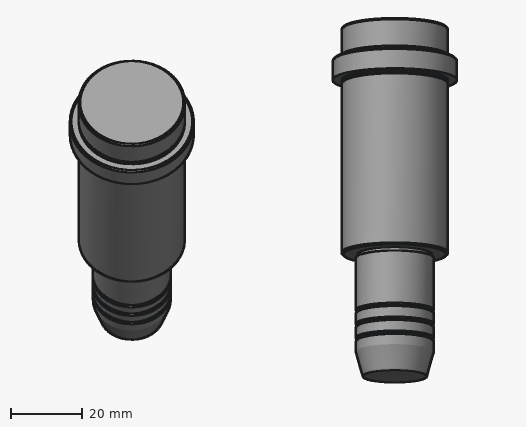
import cadquery as cq

total_length = 100.0
flange_radius = 17.5
body_radius = 15.0
stem_radius = 11.0

flange_top = 91.0
flange_bottom = 85.0
body_bottom = 35.0

neck_radius = 10.5
neck_width = 1.0

groove_width = 1.0
groove_depth = groove_width / 2
stem_groove_pitch = 4.0
stem_groove_count = 3
lowest_stem_groove = 10.0

taper_top = 7.0
tip_radius = 9.2
tip_bevel_height = 0.5
tip_bevel_width = 0.2

edge_chamfer = 0.5


def cylinder(radius, bottom, top):
    """Solid cylinder on the Z axis between two heights."""
    return cq.Workplane("XY").workplane(offset=bottom).circle(radius).extrude(top - bottom)


def ring_groove(radius, bottom):
    """V-shaped ring cutter whose mouth lies on the given radius."""
    return (
        cq.Workplane("XZ")
        .moveTo(radius, bottom)
        .lineTo(radius - groove_depth, bottom + groove_width / 2)
        .lineTo(radius, bottom + groove_width)
        .close()
        .revolve(360, (0, 0, 0), (0, 1, 0))
    )


body = cylinder(body_radius, body_bottom, total_length).edges().chamfer(edge_chamfer)
flange = cylinder(flange_radius, flange_bottom, flange_top).faces(">Z").edges().chamfer(edge_chamfer)

for groove_bottom in (flange_top, flange_bottom - groove_width):
    body = body.cut(ring_groove(body_radius, groove_bottom))

stem_top = body_bottom - neck_width
stem = (
    cq.Workplane("XZ")
    .moveTo(0, 0)
    .lineTo(tip_radius - tip_bevel_width, 0)
    .lineTo(tip_radius, tip_bevel_height)
    .lineTo(stem_radius, taper_top)
    .lineTo(stem_radius, stem_top)
    .lineTo(neck_radius, stem_top)
    .lineTo(neck_radius, body_bottom)
    .lineTo(0, body_bottom)
    .close()
    .revolve(360, (0, 0, 0), (0, 1, 0))
)

for index in range(stem_groove_count):
    stem = stem.cut(ring_groove(stem_radius, lowest_stem_groove + index * stem_groove_pitch))

result = body.union(flange).union(stem)